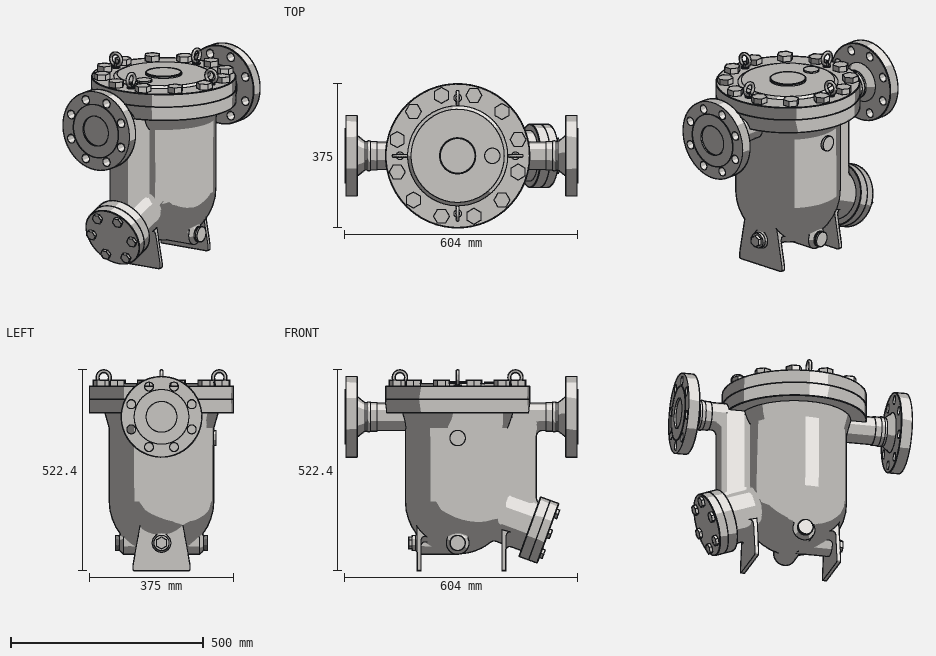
import cadquery as cq
import math

ROUNDING = 15.0

BODY_RADIUS = 136.0
DOME_CENTRE_Z = -220.0
COLLAR_RADIUS = 147.0
COLLAR_BOTTOM_Z = -29.5
FLANGE_RADIUS = 375.0 / 2
FLANGE_BOTTOM_Z = 9.5
JOINT_Z = 46.0
LID_TOP_Z = 80.5
FLANGE_EDGE_CHAMFER = 1.5
JOINT_GROOVE_DEPTH = 1.0
JOINT_GROOVE_HEIGHT = 1.0

PAD_BASE_RADIUS = 130.0
PAD_TOP_RADIUS = 121.0
PAD_TOP_Z = 86.0
CENTRE_BOSS_RADIUS = 47.0
CENTRE_BOSS_TOP_Z = 91.5
CENTRE_BOSS_CHAMFER = 2.0
SMALL_BOSS_RADIUS = 20.0
SMALL_BOSS_X = 90.0
SMALL_BOSS_TOP_Z = 90.0
LID_BOLT_COUNT = 12
LID_BOLT_PITCH_ANGLE = 360.0 / LID_BOLT_COUNT
LID_BOLT_CIRCLE_RADIUS = 162.5
LID_BOLT_FLATS = 36.0
LID_BOLT_HEIGHT = 15.0

EYE_COUNT = 4
EYE_TOP_Z = 122.42
EYE_CIRCLE_RADIUS = 150.0
EYE_OUTER_RADIUS = 20.0
EYE_HOLE_RADIUS = 12.0
EYE_BASE_RADIUS = 10.0
EYE_BASE_HEIGHT = 2.5
EYE_SHANK_RADIUS = 5.0
EYE_SHANK_RISE = 1.0

INLET_FACE_X = -292.0
OUTLET_FACE_X = 312.0
PIPE_RADIUS = 36.0
NECK_RADIUS = 75.0 / 2
NECK_END_DEPTH = 82.5
WELD_START_DEPTH = 56.5
WELD_END_DEPTH = 66.0
WELD_BULGE = 1.7
HUB_END_DEPTH = 51.0
HUB_RADIUS = 105.0 / 2
PIPE_FLANGE_RADIUS = 105.0
PIPE_FLANGE_DEPTH = 32.0
PIPE_FLANGE_CHAMFER = 1.5
RAISED_FACE_RADIUS = 71.0
RAISED_FACE_HEIGHT = 2.0
PORT_RADIUS = 40.0
PORT_DEPTH = 5.0
PIPE_BOLT_HOLES = 8
PIPE_BOLT_HOLE_RADIUS = 23.0 / 2
PIPE_BOLT_CIRCLE_RADIUS = 85.0

RISER_END_X = 204.5
RISER_BOTTOM_Z = -280.0
BLEND_MARGIN = 10.0

BRANCH_TILT = 20.0
BRANCH_ORIGIN_Z = -217.0
BRANCH_RADIUS = 66.0
COVER_START = 199.0
COVER_JOINT = 226.0
COVER_END = 250.0
COVER_RADIUS = 165.0 / 2
COVER_CHAMFER = 1.5
COVER_GROOVE = 0.5
COVER_BOLT_COUNT = 6
COVER_BOLT_CIRCLE_RADIUS = 63.5
COVER_BOLT_FLATS = 24.0
COVER_BOLT_HEIGHT = 8.0

DRAIN_RADIUS = 29.5
DRAIN_Z = -327.5
DRAIN_PLUG_RADIUS = 20.0
DRAIN_TAPER = 10.0
DRAIN_BLEND = 3.5
SIDE_DRAIN_END = 99.0
SIDE_PLUG_NECK_RADIUS = 38.67 / 2
SIDE_PLUG_NECK_LENGTH = 4.5
SIDE_PLUG_LENGTH = 10.0
INLET_DRAIN_END = 99.5
PLUG_COLLAR_LENGTH = 8.5
PLUG_HEX_FLATS = 27.0
PLUG_HEX_TURN = 30.0
PLUG_HEX_LENGTH = 9.6

LEG_BOTTOM_Z = -400.0
LEG_THICKNESS = 10.0
LEG_CENTRES_X = (-100.0, 120.0)
LEG_HALF_WIDTH = 74.5
LEG_TOP_HALF_WIDTH = 50.0
LEG_STRAIGHT_HEIGHT = 14.0
LEG_TOP_Z = -250.0
LEG_CORNER = 5.0
LEG_BLEND = 10.0
LEG_SEAM_BAND = 10.0
LEG_SEAM_BOTTOM_Z = -340.0

FRONT_BOSS_Z = -55.0
FRONT_BOSS_RADIUS = 20.0
FRONT_BOSS_REACH = 142.0


def turned(shape, angle):
    return shape.rotate((0, 0, 0), (0, 0, 1), angle)


def hex_circumdiameter(flats):
    return flats / math.cos(math.radians(30))


def rod(start, direction, length, radius):
    return cq.Workplane(obj=cq.Solid.makeCylinder(radius, length, cq.Vector(*start), cq.Vector(*direction)))


def make_vessel():
    profile = (
        cq.Workplane("XZ")
        .moveTo(0, DOME_CENTRE_Z - BODY_RADIUS)
        .radiusArc((BODY_RADIUS, DOME_CENTRE_Z), -BODY_RADIUS)
        .lineTo(BODY_RADIUS, COLLAR_BOTTOM_Z)
        .lineTo(COLLAR_RADIUS, FLANGE_BOTTOM_Z)
        .lineTo(0, FLANGE_BOTTOM_Z)
        .close()
    )
    return profile.revolve(360, (0, 0, 0), (0, 1, 0))


def make_riser():
    """Upright duct as wide as the pipe, with concave fillets where it leaves the vessel wall."""
    fillet_centre_y = PIPE_RADIUS + ROUNDING
    fillet_centre_x = math.sqrt((BODY_RADIUS + ROUNDING) ** 2 - fillet_centre_y ** 2)
    wall_share = BODY_RADIUS / (BODY_RADIUS + ROUNDING)
    wall_x = fillet_centre_x * wall_share
    wall_y = fillet_centre_y * wall_share
    corner_x = RISER_END_X - ROUNDING
    corner_y = PIPE_RADIUS - ROUNDING
    return (
        cq.Workplane("XY")
        .workplane(offset=RISER_BOTTOM_Z)
        .lineTo(wall_x, -wall_y)
        .radiusArc((fillet_centre_x, -PIPE_RADIUS), ROUNDING)
        .lineTo(corner_x, -PIPE_RADIUS)
        .radiusArc((RISER_END_X, -corner_y), -ROUNDING)
        .lineTo(RISER_END_X, corner_y)
        .radiusArc((corner_x, PIPE_RADIUS), -ROUNDING)
        .lineTo(fillet_centre_x, PIPE_RADIUS)
        .radiusArc((wall_x, wall_y), ROUNDING)
        .close()
        .extrude(-RISER_BOTTOM_Z)
    )


def make_branch_stub():
    axis = (math.cos(math.radians(BRANCH_TILT)), 0, -math.sin(math.radians(BRANCH_TILT)))
    return rod((0, 0, BRANCH_ORIGIN_Z), axis, COVER_JOINT, BRANCH_RADIUS)


def make_shell():
    """Vessel, riser and branch, blended together where the branch meets the other two."""
    shell = make_vessel().union(make_riser()).union(make_branch_stub())
    branch_seam = cq.selectors.BoxSelector(
        (COVER_START / 2 - BLEND_MARGIN, -BODY_RADIUS / 2, DOME_CENTRE_Z - BODY_RADIUS),
        (RISER_END_X + 0.5, BODY_RADIUS / 2, DOME_CENTRE_Z + ROUNDING),
    )
    return shell.edges(branch_seam).fillet(ROUNDING)


def add_blended_pipe(shell):
    """Run the pipe through the top of the vessel, with a fillet under it at the end of the riser."""
    pipe_length = OUTLET_FACE_X - INLET_FACE_X - 2 * NECK_END_DEPTH
    pipe = rod((INLET_FACE_X + NECK_END_DEPTH, 0, 0), (1, 0, 0), pipe_length, PIPE_RADIUS)
    riser_seam = cq.selectors.BoxSelector(
        (RISER_END_X - ROUNDING, -PIPE_RADIUS, -PIPE_RADIUS),
        (RISER_END_X + 0.5, PIPE_RADIUS, -0.5),
    )
    return shell.union(pipe).edges(riser_seam).fillet(ROUNDING)


def make_leg(centre_x):
    """Upright plate that tapers towards the vessel, with rounded lower corners."""
    taper_start_z = LEG_BOTTOM_Z + LEG_STRAIGHT_HEIGHT
    outline = [
        (-LEG_HALF_WIDTH, LEG_BOTTOM_Z),
        (LEG_HALF_WIDTH, LEG_BOTTOM_Z),
        (LEG_HALF_WIDTH, taper_start_z),
        (LEG_TOP_HALF_WIDTH, LEG_TOP_Z),
        (-LEG_TOP_HALF_WIDTH, LEG_TOP_Z),
        (-LEG_HALF_WIDTH, taper_start_z),
    ]
    return (
        cq.Workplane("YZ")
        .workplane(offset=centre_x - LEG_THICKNESS / 2)
        .polyline(outline)
        .close()
        .extrude(LEG_THICKNESS)
        .edges("|X and <Z")
        .fillet(LEG_CORNER)
    )


def add_blended_legs(shell):
    """Stand the vessel on its legs, blended on both faces at the inlet and on the outer face at the outlet."""
    inlet_x, outlet_x = LEG_CENTRES_X
    outlet_face_x = outlet_x + LEG_THICKNESS / 2
    inlet_seam = cq.selectors.BoxSelector(
        (inlet_x - LEG_THICKNESS, -LEG_SEAM_BAND, LEG_SEAM_BOTTOM_Z),
        (inlet_x + LEG_THICKNESS, LEG_SEAM_BAND, LEG_TOP_Z),
    )
    outlet_seam = cq.selectors.BoxSelector(
        (outlet_face_x - 1, -LEG_SEAM_BAND, LEG_SEAM_BOTTOM_Z),
        (outlet_face_x + 1, LEG_SEAM_BAND, LEG_TOP_Z),
    )
    supported = shell.union(make_leg(inlet_x)).edges(inlet_seam).fillet(LEG_BLEND)
    return supported.union(make_leg(outlet_x)).edges(outlet_seam).fillet(LEG_BLEND)


def make_body_flanges():
    """Body flange and lid flange with a fine groove around the joint, and the raised pad of the lid."""
    groove_radius = FLANGE_RADIUS - JOINT_GROOVE_DEPTH
    groove_bottom_z = JOINT_Z - JOINT_GROOVE_HEIGHT / 2
    groove_top_z = JOINT_Z + JOINT_GROOVE_HEIGHT / 2
    bevel_radius = FLANGE_RADIUS - FLANGE_EDGE_CHAMFER
    outline = [
        (0, FLANGE_BOTTOM_Z),
        (bevel_radius, FLANGE_BOTTOM_Z),
        (FLANGE_RADIUS, FLANGE_BOTTOM_Z + FLANGE_EDGE_CHAMFER),
        (FLANGE_RADIUS, groove_bottom_z),
        (groove_radius, groove_bottom_z),
        (groove_radius, groove_top_z),
        (FLANGE_RADIUS, groove_top_z),
        (FLANGE_RADIUS, LID_TOP_Z - FLANGE_EDGE_CHAMFER),
        (bevel_radius, LID_TOP_Z),
        (PAD_BASE_RADIUS, LID_TOP_Z),
        (PAD_TOP_RADIUS, PAD_TOP_Z),
        (CENTRE_BOSS_RADIUS, PAD_TOP_Z),
        (CENTRE_BOSS_RADIUS, CENTRE_BOSS_TOP_Z - CENTRE_BOSS_CHAMFER),
        (CENTRE_BOSS_RADIUS - CENTRE_BOSS_CHAMFER, CENTRE_BOSS_TOP_Z),
        (0, CENTRE_BOSS_TOP_Z),
    ]
    return cq.Workplane("XZ").polyline(outline).close().revolve(360, (0, 0, 0), (0, 1, 0))


def make_small_lid_boss():
    return rod((SMALL_BOSS_X, 0, LID_TOP_Z), (0, 0, 1), SMALL_BOSS_TOP_Z - LID_TOP_Z, SMALL_BOSS_RADIUS)


def make_lid_bolt():
    return (
        cq.Workplane("XY")
        .workplane(offset=LID_TOP_Z)
        .polygon(6, hex_circumdiameter(LID_BOLT_FLATS))
        .extrude(LID_BOLT_HEIGHT)
        .rotate((0, 0, 0), (0, 0, 1), -LID_BOLT_PITCH_ANGLE / 2)
        .translate((LID_BOLT_CIRCLE_RADIUS, 0, 0))
        .rotate((0, 0, 0), (0, 0, 1), LID_BOLT_PITCH_ANGLE / 2)
    )


def make_lifting_eye():
    """Ring in the XZ plane on a round base, with a short shank up into the ring."""
    ring_radius = (EYE_OUTER_RADIUS + EYE_HOLE_RADIUS) / 2
    wire_radius = (EYE_OUTER_RADIUS - EYE_HOLE_RADIUS) / 2
    ring_centre_z = EYE_TOP_Z - EYE_OUTER_RADIUS
    ring = cq.Workplane(
        obj=cq.Solid.makeTorus(
            ring_radius, wire_radius, cq.Vector(EYE_CIRCLE_RADIUS, 0, ring_centre_z), cq.Vector(0, 1, 0)
        )
    )
    shank_height = ring_centre_z - ring_radius + wire_radius - LID_TOP_Z + EYE_SHANK_RISE
    foot = (EYE_CIRCLE_RADIUS, 0, LID_TOP_Z)
    base = rod(foot, (0, 0, 1), EYE_BASE_HEIGHT, EYE_BASE_RADIUS)
    shank = rod(foot, (0, 0, 1), shank_height, EYE_SHANK_RADIUS)
    return ring.union(base).union(shank)


def make_pipe_end():
    """Pipe end along +X whose flange face lies at X = 0 and whose neck reaches back to -X."""
    weld_middle_depth = (WELD_START_DEPTH + WELD_END_DEPTH) / 2
    rim_radius = PIPE_FLANGE_RADIUS - PIPE_FLANGE_CHAMFER
    end = (
        cq.Workplane("XY")
        .moveTo(-NECK_END_DEPTH, 0)
        .lineTo(-NECK_END_DEPTH, NECK_RADIUS)
        .lineTo(-WELD_END_DEPTH, NECK_RADIUS)
        .threePointArc((-weld_middle_depth, NECK_RADIUS + WELD_BULGE), (-WELD_START_DEPTH, NECK_RADIUS))
        .lineTo(-HUB_END_DEPTH, NECK_RADIUS)
        .lineTo(-PIPE_FLANGE_DEPTH, HUB_RADIUS)
        .lineTo(-PIPE_FLANGE_DEPTH, rim_radius)
        .lineTo(-PIPE_FLANGE_DEPTH + PIPE_FLANGE_CHAMFER, PIPE_FLANGE_RADIUS)
        .lineTo(-RAISED_FACE_HEIGHT, PIPE_FLANGE_RADIUS)
        .lineTo(-RAISED_FACE_HEIGHT, RAISED_FACE_RADIUS)
        .lineTo(0, RAISED_FACE_RADIUS)
        .lineTo(0, PORT_RADIUS)
        .lineTo(-PORT_DEPTH, PORT_RADIUS)
        .lineTo(-PORT_DEPTH, 0)
        .close()
        .revolve(360, (0, 0, 0), (1, 0, 0))
    )
    for index in range(PIPE_BOLT_HOLES):
        angle = 2 * math.pi * (index + 0.5) / PIPE_BOLT_HOLES
        hole_y = PIPE_BOLT_CIRCLE_RADIUS * math.cos(angle)
        hole_z = PIPE_BOLT_CIRCLE_RADIUS * math.sin(angle)
        hole_start = (-PIPE_FLANGE_DEPTH, hole_y, hole_z)
        end = end.cut(rod(hole_start, (1, 0, 0), PIPE_FLANGE_DEPTH, PIPE_BOLT_HOLE_RADIUS))
    return end


def make_branch_cover():
    """Flanged cover of the branch, with its hexagon bolts, turned down to the branch axis."""
    outline = [
        (COVER_START, 0),
        (COVER_START, COVER_RADIUS - COVER_CHAMFER),
        (COVER_START + COVER_CHAMFER, COVER_RADIUS),
        (COVER_JOINT - COVER_GROOVE / 2, COVER_RADIUS),
        (COVER_JOINT - COVER_GROOVE / 2, COVER_RADIUS - COVER_GROOVE),
        (COVER_JOINT + COVER_GROOVE / 2, COVER_RADIUS - COVER_GROOVE),
        (COVER_JOINT + COVER_GROOVE / 2, COVER_RADIUS),
        (COVER_END - COVER_CHAMFER, COVER_RADIUS),
        (COVER_END, COVER_RADIUS - COVER_CHAMFER),
        (COVER_END, 0),
    ]
    cover = cq.Workplane("XY").polyline(outline).close().revolve(360, (0, 0, 0), (1, 0, 0))
    for index in range(COVER_BOLT_COUNT):
        bolt = (
            cq.Workplane("YZ")
            .workplane(offset=COVER_END)
            .center(COVER_BOLT_CIRCLE_RADIUS, 0)
            .polygon(6, hex_circumdiameter(COVER_BOLT_FLATS))
            .extrude(COVER_BOLT_HEIGHT)
            .rotate((0, 0, 0), (1, 0, 0), 360 * index / COVER_BOLT_COUNT)
        )
        cover = cover.union(bolt)
    return cover.rotate((0, 0, 0), (0, 1, 0), BRANCH_TILT).translate((0, 0, BRANCH_ORIGIN_Z))


def make_drain_boss(straight_length):
    """Drain boss along +X from the vessel axis, tapering down to the plug radius."""
    outline = [
        (0, 0),
        (0, DRAIN_RADIUS),
        (straight_length, DRAIN_RADIUS),
        (straight_length + DRAIN_TAPER, DRAIN_PLUG_RADIUS),
        (straight_length + DRAIN_TAPER, 0),
    ]
    boss = cq.Workplane("XY").polyline(outline).close().revolve(360, (0, 0, 0), (1, 0, 0))
    return boss.translate((0, 0, DRAIN_Z))


def make_side_drain():
    neck_start = SIDE_DRAIN_END + DRAIN_TAPER
    head_start = neck_start + SIDE_PLUG_NECK_LENGTH
    head_length = SIDE_PLUG_LENGTH - SIDE_PLUG_NECK_LENGTH
    neck = rod((neck_start, 0, DRAIN_Z), (1, 0, 0), SIDE_PLUG_NECK_LENGTH, SIDE_PLUG_NECK_RADIUS)
    head = rod((head_start, 0, DRAIN_Z), (1, 0, 0), head_length, DRAIN_PLUG_RADIUS)
    return make_drain_boss(SIDE_DRAIN_END).union(neck).union(head)


def make_inlet_drain():
    collar_start = INLET_DRAIN_END + DRAIN_TAPER
    collar = rod((collar_start, 0, DRAIN_Z), (1, 0, 0), PLUG_COLLAR_LENGTH, DRAIN_PLUG_RADIUS)
    hexagon = (
        cq.Workplane("YZ", origin=(collar_start + PLUG_COLLAR_LENGTH, 0, DRAIN_Z))
        .polygon(6, hex_circumdiameter(PLUG_HEX_FLATS))
        .extrude(PLUG_HEX_LENGTH)
        .rotate((0, 0, DRAIN_Z), (1, 0, DRAIN_Z), PLUG_HEX_TURN)
    )
    return make_drain_boss(INLET_DRAIN_END).union(collar).union(hexagon)


def make_drains():
    """Two opposite side drains along Y joined to the inlet-side drain along -X."""
    side_drains = turned(make_side_drain(), 90).union(turned(make_side_drain(), -90))
    return side_drains.union(turned(make_inlet_drain(), 180))


def add_blended_drains(shell):
    """Join the drains to the vessel with a small fillet along the seam in the dome."""
    reach = INLET_DRAIN_END + DRAIN_TAPER
    drain_seam = cq.selectors.BoxSelector(
        (-reach, -reach, DRAIN_Z - DRAIN_RADIUS - 1),
        (DRAIN_RADIUS, reach, DRAIN_Z + DRAIN_RADIUS),
    )
    return shell.union(make_drains()).edges(drain_seam).edges("%BSPLINE").fillet(DRAIN_BLEND)


shell = make_shell()
result = add_blended_legs(add_blended_pipe(shell)).union(add_blended_drains(shell))
result = result.union(make_body_flanges()).union(make_small_lid_boss())
result = result.union(make_pipe_end().translate((OUTLET_FACE_X, 0, 0)))
result = result.union(turned(make_pipe_end(), 180).translate((INLET_FACE_X, 0, 0)))

for bolt_index in range(LID_BOLT_COUNT):
    result = result.union(turned(make_lid_bolt(), bolt_index * LID_BOLT_PITCH_ANGLE))
for eye_index in range(EYE_COUNT):
    result = result.union(turned(make_lifting_eye(), eye_index * 360 / EYE_COUNT))

result = result.union(make_branch_cover())
result = result.union(rod((0, 0, FRONT_BOSS_Z), (0, -1, 0), FRONT_BOSS_REACH, FRONT_BOSS_RADIUS))